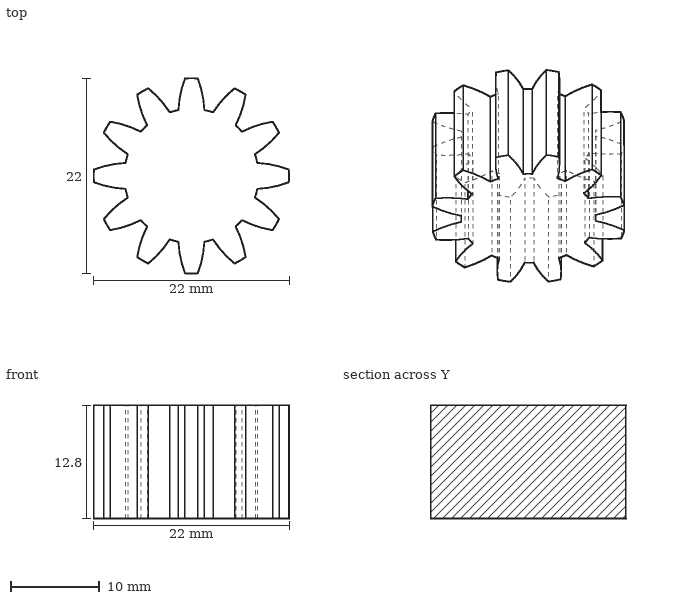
import cadquery as cq
import math

tooth_count = 12
tip_radius = 11.0
root_radius = 7.56
face_width = 12.75

root_half_thickness = 1.47
middle_radius = 9.15
middle_half_thickness = 1.28
tip_half_thickness = 0.73

tooth_pitch = 2 * math.pi / tooth_count


def flank_point(radius, half_thickness, axis_angle, side):
    """Point on a tooth flank; side is -1 or +1 across the tooth's centre line."""
    angle = axis_angle + side * math.asin(half_thickness / radius)
    return polar_point(radius, angle)


def polar_point(radius, angle):
    return (radius * math.cos(angle), radius * math.sin(angle))


def gear_outline():
    """Closed outline of arcs: flank, tip, flank and root floor for every tooth."""
    outline = cq.Workplane("XY").moveTo(*flank_point(root_radius, root_half_thickness, 0, -1))
    for tooth in range(tooth_count):
        axis_angle = tooth * tooth_pitch
        next_axis_angle = axis_angle + tooth_pitch
        gap_angle = axis_angle + tooth_pitch / 2

        outline = outline.threePointArc(
            flank_point(middle_radius, middle_half_thickness, axis_angle, -1),
            flank_point(tip_radius, tip_half_thickness, axis_angle, -1),
        )
        outline = outline.threePointArc(
            polar_point(tip_radius, axis_angle),
            flank_point(tip_radius, tip_half_thickness, axis_angle, 1),
        )
        outline = outline.threePointArc(
            flank_point(middle_radius, middle_half_thickness, axis_angle, 1),
            flank_point(root_radius, root_half_thickness, axis_angle, 1),
        )
        outline = outline.threePointArc(
            polar_point(root_radius, gap_angle),
            flank_point(root_radius, root_half_thickness, next_axis_angle, -1),
        )
    return outline.close()


result = gear_outline().extrude(face_width)